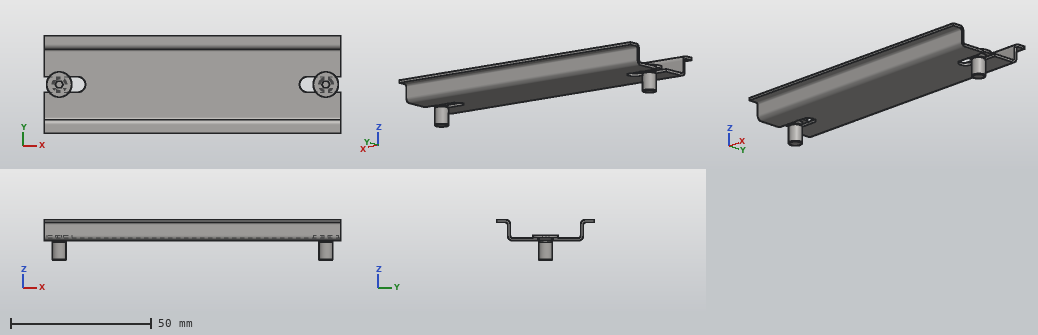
import cadquery as cq
import math

rail_length = 106.0
rail_width = 35.0
channel_width = 27.0
rail_height = 7.5
sheet = 1.0
bend_inner_radius = 0.8
bend_outer_radius = bend_inner_radius + sheet

slot_width = 5.5
slot_length = 14.7

screw_inset = 5.4
screw_x = rail_length / 2 - screw_inset
head_diameter = 9.0
head_height = 1.0
shank_diameter = 5.0
overall_height = 14.5
screw_tip_z = rail_height - overall_height
shank_top_z = -0.5
neck_diameter = 4.0
neck_z = 0.1
flare_diameter = 5.3
tip_chamfer = 0.3
socket_flats = 2.4
socket_corners = socket_flats / math.cos(math.pi / 6)
socket_depth = 1.6


def make_rail():
    """Bent sheet profile extruded along X, with an open slot at each end."""
    half_width = rail_width / 2
    wall_outer = channel_width / 2
    wall_inner = wall_outer - sheet
    flange_bottom = rail_height - sheet
    right_side = [
        (wall_outer, 0),
        (wall_outer, flange_bottom),
        (half_width, flange_bottom),
        (half_width, rail_height),
        (wall_inner, rail_height),
        (wall_inner, sheet),
    ]
    left_side = [(-y, z) for y, z in reversed(right_side)]
    rail = (
        cq.Workplane("YZ")
        .polyline(right_side + left_side)
        .close()
        .extrude(rail_length / 2, both=True)
    )

    def bend_edges(y, z):
        """Both mirrored corner edges along X at the given profile corner."""
        size = sheet / 4
        return [
            cq.selectors.BoxSelector(
                (-rail_length, side * y - size, z - size),
                (rail_length, side * y + size, z + size),
            )
            for side in (-1, 1)
        ]

    bends = [
        (wall_outer, 0, bend_outer_radius),
        (wall_inner, sheet, bend_inner_radius),
        (wall_outer, flange_bottom, bend_inner_radius),
        (wall_inner, rail_height, bend_outer_radius),
    ]
    for y, z, radius in bends:
        for selector in bend_edges(y, z):
            rail = rail.edges(selector).fillet(radius)

    for end_x in (-rail_length / 2, rail_length / 2):
        slot = (
            cq.Workplane("XY")
            .center(end_x, 0)
            .slot2D(2 * slot_length, slot_width)
            .extrude(sheet)
        )
        rail = rail.cut(slot)
    return rail


def make_screw(x):
    """Flat-headed screw with a waisted neck and a hexagon socket."""
    head_top = sheet + head_height
    head_radius = head_diameter / 2
    shank_radius = shank_diameter / 2
    neck_radius = neck_diameter / 2
    flare_radius = flare_diameter / 2
    half_section = [
        (0, screw_tip_z),
        (shank_radius - tip_chamfer, screw_tip_z),
        (shank_radius, screw_tip_z + tip_chamfer),
        (shank_radius, shank_top_z),
        (neck_radius, neck_z),
        (flare_radius, sheet),
        (head_radius, sheet),
        (head_radius, head_top),
        (0, head_top),
    ]
    screw = (
        cq.Workplane("XZ")
        .polyline(half_section)
        .close()
        .revolve(360, (0, 0, 0), (0, 1, 0))
    )
    socket = (
        cq.Workplane("XY")
        .workplane(offset=head_top - socket_depth)
        .polygon(6, socket_corners)
        .extrude(socket_depth)
    )
    return screw.cut(socket).translate((x, 0, 0))


rail = make_rail()
screws = [make_screw(x) for x in (-screw_x, screw_x)]

result = cq.Compound.makeCompound([rail.val(), *[screw.val() for screw in screws]])